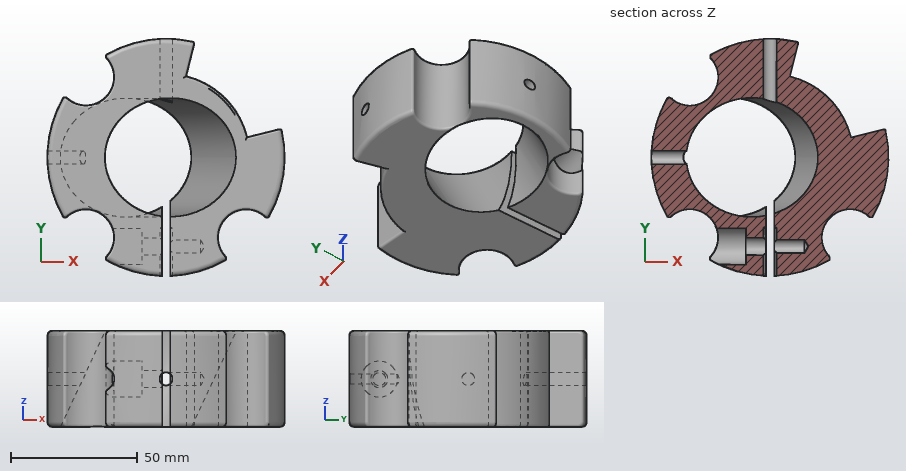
import cadquery as cq
import math

collar_radius = 47.0
collar_height = 38.1
rim_fillet = 2.0
cutout_fillet = 1.0

scallop_radius = 11.11
scallop_center_radius = 44.85
scallop_angles = (135, 225, 315)

sector_floor_radius = 33.1
sector_middle_angle = 45
sector_half_angle = 31

bore_diameter = 47.0
bore_tilt = 25
bore_offset_x = -7.1

slit_width = 3.175

screw_y = -35.2
counterbore_diameter = 14.29
counterbore_floor_x = -9.525
clearance_diameter = 6.76
tap_drill_diameter = 5.11
tap_depth = 12.0
drill_point_angle = 118

radial_hole_diameter = 5.11
radial_hole_depth = 19.05

overlap = 1.0


def polar(radius, angle):
    """Point at a given radius and angle in degrees in the XY plane."""
    return (radius * math.cos(math.radians(angle)), radius * math.sin(math.radians(angle)))


def drill(start, direction, diameter, depth):
    """Drilled hole: a cylinder of the given depth, then a conical drill point."""
    radius = diameter / 2
    point_length = radius / math.tan(math.radians(drill_point_angle / 2))
    profile = (
        cq.Workplane("XZ")
        .polyline([(0, 0), (radius, 0), (radius, depth), (0, depth + point_length)])
        .close()
        .revolve(360, (0, 0, 0), (0, 1, 0))
    )
    plane = cq.Plane(origin=start, normal=direction)
    return cq.Workplane(profile.val().moved(plane.location))


def straight_hole(start, direction, diameter, depth):
    """Plain cylinder running from start along direction."""
    return cq.Workplane(
        cq.Solid.makeCylinder(diameter / 2, depth, cq.Vector(*start), cq.Vector(*direction))
    )


def make_body():
    """Plain disc with rounded rims."""
    return (
        cq.Workplane("XY")
        .circle(collar_radius)
        .extrude(collar_height / 2, both=True)
        .edges("%CIRCLE")
        .fillet(rim_fillet)
    )


def cut_scallops(body):
    """Cut the scallops and round every edge around them."""
    centers = [polar(scallop_center_radius, angle) for angle in scallop_angles]
    cutter = cq.Workplane("XY").pushPoints(centers).circle(scallop_radius).extrude(collar_height, both=True)
    body = body.cut(cutter)
    for x, y in centers:
        near = cq.selectors.BoxSelector(
            (x - scallop_radius, y - scallop_radius, -collar_height),
            (x + scallop_radius, y + scallop_radius, collar_height),
        )
        body = body.faces(near).edges().fillet(cutout_fillet)
    return body


def is_inner_corner(edge):
    """True for the upright edges where the sector walls meet the sector floor."""
    center = edge.Center()
    at_mid_height = abs(center.z) < overlap
    return at_mid_height and math.hypot(center.x, center.y) < sector_floor_radius + overlap


def cut_sector(body):
    """Step the rim down over one sector and round its outer edges."""
    start_angle = sector_middle_angle - sector_half_angle
    end_angle = sector_middle_angle + sector_half_angle
    far_radius = 2 * collar_radius
    cutter = (
        cq.Workplane("XY")
        .moveTo(*polar(sector_floor_radius, start_angle))
        .lineTo(*polar(far_radius, start_angle))
        .threePointArc(polar(far_radius, sector_middle_angle), polar(far_radius, end_angle))
        .lineTo(*polar(sector_floor_radius, end_angle))
        .threePointArc(
            polar(sector_floor_radius, sector_middle_angle), polar(sector_floor_radius, start_angle)
        )
        .close()
        .extrude(collar_height, both=True)
    )
    body = body.cut(cutter)
    quadrant = cq.selectors.BoxSelector((overlap, overlap, -overlap), (collar_radius, collar_radius, overlap))
    cutout_edges = body.faces(quadrant).edges()
    rounded_edges = [edge for edge in cutout_edges.vals() if not is_inner_corner(edge)]
    return body.newObject(rounded_edges).fillet(cutout_fillet)


def cut_bore(body):
    """Cut the bore, tilted in the XZ plane."""
    tilt = math.radians(bore_tilt)
    direction = (math.sin(tilt), 0, math.cos(tilt))
    reach = 2 * collar_height
    start = (bore_offset_x - reach * direction[0], 0, -reach * direction[2])
    return body.cut(straight_hole(start, direction, bore_diameter, 2 * reach))


def cut_slit(body):
    """Cut the slit from the bore out through the -Y rim."""
    slit_length = collar_radius + overlap
    slit = cq.Workplane("XY").box(slit_width, slit_length, 2 * collar_height)
    return body.cut(slit.translate((0, -slit_length / 2, 0)))


def cut_clamp_screw(body):
    """Counterbore and clearance hole up to the slit, tapping drill beyond it."""
    counterbore = straight_hole(
        (counterbore_floor_x, screw_y, 0), (-1, 0, 0), counterbore_diameter, collar_radius
    )
    clearance = straight_hole(
        (counterbore_floor_x, screw_y, 0), (1, 0, 0), clearance_diameter, -counterbore_floor_x
    )
    tap = drill((0, screw_y, 0), (1, 0, 0), tap_drill_diameter, slit_width / 2 + tap_depth)
    return body.cut(counterbore).cut(clearance).cut(tap)


def cut_radial_holes(body):
    """Drill from the -X and -Y rims, and from the +Y rim into the bore."""
    for x, y in ((-1, 0), (0, -1)):
        start = (x * collar_radius, y * collar_radius, 0)
        body = body.cut(drill(start, (-x, -y, 0), radial_hole_diameter, radial_hole_depth))
    through = straight_hole((0, 0, 0), (0, 1, 0), radial_hole_diameter, collar_radius + overlap)
    return body.cut(through)


collar = cut_scallops(make_body())
collar = cut_sector(collar)
collar = cut_bore(collar)
collar = cut_slit(collar)
collar = cut_clamp_screw(collar)
result = cut_radial_holes(collar)